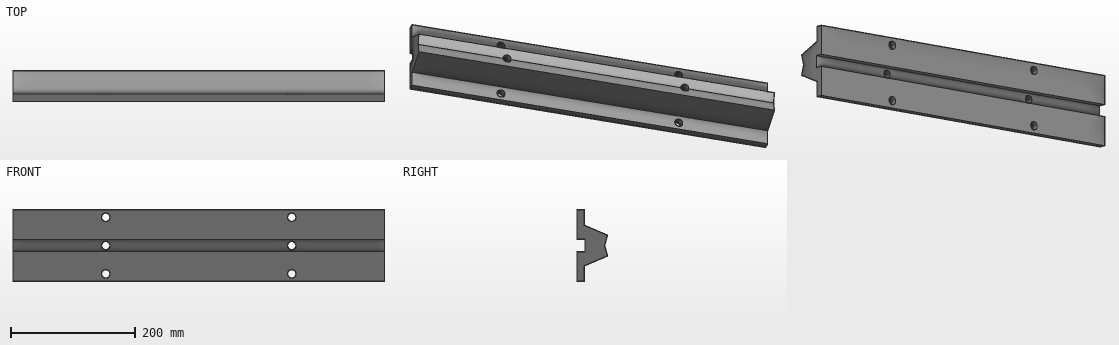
import cadquery as cq

length = 599.5
depth = 50.0
height = 116.0

flange_thickness = 12.0
rib_root_height = 66.0
rib_tip_height = 33.5
groove_depth = 5.0
slot_height = 20.0
slot_depth = 13.0

hole_diameter = 13.0
hole_spacing_x = length / 2
hole_spacing_z = 45.5
hole_rows = 3
hole_columns = 2

front = -depth / 2
back = depth / 2
flange_back = front + flange_thickness


def make_rail():
    """Extrude the flange, tapered rib and shallow V groove along X."""
    upper_outline = [
        (front, height / 2),
        (flange_back, height / 2),
        (flange_back, rib_root_height / 2),
        (back, rib_tip_height / 2),
    ]
    groove_apex = (back - groove_depth, 0)
    lower_outline = [(y, -z) for y, z in reversed(upper_outline)]
    outline = upper_outline + [groove_apex] + lower_outline
    return cq.Workplane("YZ").polyline(outline).close().extrude(length / 2, both=True)


def make_slot():
    """Rectangular slot along the full length of the flat front face."""
    slot = cq.Workplane("XY").box(length, slot_depth, slot_height)
    return slot.translate((0, front + slot_depth / 2, 0))


def make_holes():
    """Grid of cylinders passing through the full depth."""
    return (
        cq.Workplane("XZ")
        .rarray(hole_spacing_x, hole_spacing_z, hole_columns, hole_rows)
        .circle(hole_diameter / 2)
        .extrude(depth, both=True)
    )


result = make_rail().cut(make_slot()).cut(make_holes())